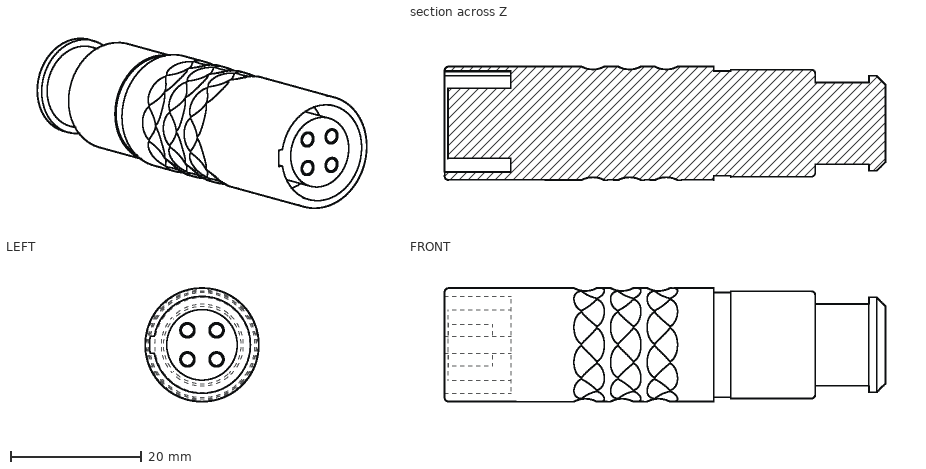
import cadquery as cq

LENGTH = 67.8
SHELL_RADIUS = 8.75
SHELL_END = 41.4
MOUTH_FILLET = 0.7

GROOVE_RADIUS = 8.1
GROOVE_END = 44.0
NUT_RADIUS = 8.3
NUT_END = 57.0
NUT_FILLET = 0.7

NECK_RADIUS = 6.3
FLANGE_START = 65.2
FLANGE_RADIUS = 7.3
FLANGE_CHAMFER = 1.35

BORE_RADIUS = 7.45
BORE_DEPTH = 10.2
KEYWAY_WIDTH = 2.6
KEYWAY_RADIUS = SHELL_RADIUS - MOUTH_FILLET
INSERT_RADIUS = 5.4
INSERT_FACE = 0.55

CONTACT_PITCH = 4.5
CONTACT_RADIUS = 0.95
CONTACT_DEPTH = 6.8
RECESS_RADIUS = 1.15
RECESS_DEPTH = 0.1

SCALLOPS_PER_RING = 10
SCALLOP_DEPTH = 0.44
SCALLOP_HALF_LENGTH = 1.75
BAND_COUNT = 3
BAND_PITCH = 5.6
FIRST_BAND_CENTRE = 22.25
RING_SPACING = 1.15


def make_body():
    """Turned outside of the connector, without the cavity and the grip."""
    profile = (
        cq.Workplane("XY")
        .lineTo(0, SHELL_RADIUS - MOUTH_FILLET)
        .radiusArc((MOUTH_FILLET, SHELL_RADIUS), MOUTH_FILLET)
        .lineTo(SHELL_END, SHELL_RADIUS)
        .lineTo(SHELL_END, GROOVE_RADIUS)
        .lineTo(GROOVE_END, GROOVE_RADIUS)
        .lineTo(GROOVE_END, NUT_RADIUS)
        .lineTo(NUT_END - NUT_FILLET, NUT_RADIUS)
        .radiusArc((NUT_END, NUT_RADIUS - NUT_FILLET), NUT_FILLET)
        .lineTo(NUT_END, NECK_RADIUS)
        .lineTo(FLANGE_START, NECK_RADIUS)
        .lineTo(FLANGE_START, FLANGE_RADIUS)
        .lineTo(LENGTH - FLANGE_CHAMFER, FLANGE_RADIUS)
        .lineTo(LENGTH, FLANGE_RADIUS - FLANGE_CHAMFER)
        .lineTo(LENGTH, 0)
        .close()
    )
    return profile.revolve(360, (0, 0, 0), (1, 0, 0))


def disc(start, end, radius):
    """Solid cylinder on the X axis."""
    return cq.Workplane("YZ", origin=(start, 0, 0)).circle(radius).extrude(end - start)


def make_cavity():
    """Space around the contact insert, in front of it and in the keyway."""
    bore = disc(0, BORE_DEPTH, BORE_RADIUS)
    insert = disc(INSERT_FACE, BORE_DEPTH, INSERT_RADIUS)
    keyway_length = KEYWAY_RADIUS - INSERT_RADIUS
    keyway = (
        cq.Workplane("YZ")
        .center(INSERT_RADIUS + keyway_length / 2, 0)
        .rect(keyway_length, KEYWAY_WIDTH)
        .extrude(BORE_DEPTH)
        .intersect(disc(0, BORE_DEPTH, KEYWAY_RADIUS))
    )
    return bore.union(keyway).cut(insert)


def make_contact_holes():
    """Four round holes with shallow counterbores in the face of the insert."""
    hole = (
        cq.Workplane("XY", origin=(INSERT_FACE, 0, 0))
        .lineTo(0, RECESS_RADIUS)
        .lineTo(RECESS_DEPTH, RECESS_RADIUS)
        .lineTo(RECESS_DEPTH, CONTACT_RADIUS)
        .lineTo(CONTACT_DEPTH, CONTACT_RADIUS)
        .lineTo(CONTACT_DEPTH, 0)
        .close()
        .revolve(360, (0, 0, 0), (1, 0, 0))
    )
    offset = CONTACT_PITCH / 2
    holes = cq.Workplane()
    for y in (-offset, offset):
        for z in (-offset, offset):
            holes = holes.add(hole.translate((0, y, z)))
    return holes.combine()


def make_scallop_cutter(x, angle):
    """Cylinder lying tangentially to the shell, at an angle in degrees from -Y."""
    cutter_radius = (SCALLOP_HALF_LENGTH**2 + SCALLOP_DEPTH**2) / (2 * SCALLOP_DEPTH)
    axis_offset = SHELL_RADIUS - SCALLOP_DEPTH + cutter_radius
    half_width = SHELL_RADIUS / 2
    cutter = cq.Solid.makeCylinder(
        cutter_radius,
        2 * half_width,
        cq.Vector(x, -axis_offset, -half_width),
        cq.Vector(0, 0, 1),
    )
    return cutter.rotate(cq.Vector(0, 0, 0), cq.Vector(1, 0, 0), angle)


def cut_grip(body):
    """Cut every ring of scallops; the rear ring is turned by half a step."""
    step = 360 / SCALLOPS_PER_RING
    for band in range(BAND_COUNT):
        centre = FIRST_BAND_CENTRE + band * BAND_PITCH
        front_ring = (centre - RING_SPACING / 2, step / 2)
        rear_ring = (centre + RING_SPACING / 2, 0)
        for x, first_angle in (front_ring, rear_ring):
            for index in range(SCALLOPS_PER_RING):
                angle = first_angle + index * step
                body = body.cut(cq.Workplane(make_scallop_cutter(x, angle)))
    return body


body = cut_grip(make_body())
result = body.cut(make_cavity()).cut(make_contact_holes())